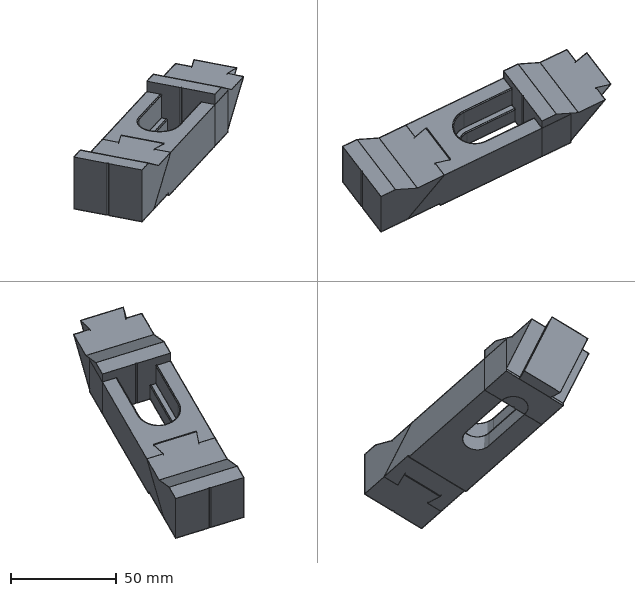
import cadquery as cq
import math


width = 35.0
ramp_angle = 45.0
ramp_run = 1 / math.tan(math.radians(ramp_angle))

jaw_height = 27.5
jaw_step = 7.0
jaw_flat_height = jaw_height - jaw_step
jaw_crest = 8.0
jaw_slope_angle = 30.0
jaw_slope_end = jaw_crest + jaw_step / math.tan(math.radians(jaw_slope_angle))
jaw_length = 35.0
groove_width = 1.0
groove_depth = 0.5

dovetail_length = 7.05
dovetail_tip_width = 22.0
dovetail_angle = 15.0
dovetail_root_width = dovetail_tip_width - 2 * dovetail_length * math.tan(math.radians(dovetail_angle))
dovetail_end_gap = 0.45

front_jaw_lift = 1.5
rear_jaw_face = 89.0

base_height = front_jaw_lift + jaw_flat_height
base_top_front = jaw_length
base_end = 105.0
foot_front = 32.5
foot_chamfer = 0.5

slot_front_center = 62.5
slot_rear_center = rear_jaw_face
slot_width = 14.0
slot_step_width = 20.0
slot_step_depth = 12.5
slot_step_z = base_height - slot_step_depth
slot_chamfer = 0.5
slot_chamfer_angle = 45.0
along_y = 90.0


def side_profile(points):
    """Extrude a (Y, Z) outline across the full width."""
    return cq.Workplane("YZ").polyline(points).close().extrude(width / 2, both=True)


def dovetail(root_y, height, end_gap=0.0):
    """Dovetail prism leaning along the ramp; root_y is the root's Y at the bottom."""
    half_root = dovetail_root_width / 2
    half_tip = dovetail_tip_width / 2
    tip_y = root_y + dovetail_length
    end_y = tip_y + end_gap

    outline = [(-half_root, root_y), (-half_tip, tip_y)]
    if end_gap > 0:
        outline += [(-half_tip, end_y), (half_tip, end_y)]
    outline += [(half_tip, tip_y), (half_root, root_y)]

    section = cq.Wire.makePolygon([cq.Vector(x, y, 0) for x, y in outline], close=True)
    lean = cq.Vector(0, height * ramp_run, height)
    return cq.Workplane(obj=cq.Solid.extrudeLinear(section, [], lean))


def make_jaw(face_y, bottom_z):
    """Sliding jaw with its clamping face at face_y and its underside at bottom_z."""
    shoulder_bottom = jaw_length - jaw_flat_height * ramp_run
    body = side_profile([
        (0, 0),
        (0, jaw_height),
        (jaw_crest, jaw_height),
        (jaw_slope_end, jaw_flat_height),
        (jaw_length, jaw_flat_height),
        (shoulder_bottom, 0),
    ])
    tongue = dovetail(shoulder_bottom, jaw_flat_height)
    groove = (
        cq.Workplane("XY")
        .polyline([(-groove_width / 2, 0), (0, groove_depth), (groove_width / 2, 0)])
        .close()
        .extrude(jaw_height)
    )
    return body.union(tongue).cut(groove).translate((0, face_y, bottom_z))


def slot_level(slot_size, bottom_z, top_z):
    """Round-ended slot with a chamfered upper rim."""
    middle = (slot_front_center + slot_rear_center) / 2
    overall = slot_rear_center - slot_front_center + slot_size
    level = (
        cq.Workplane("XY")
        .workplane(offset=bottom_z)
        .center(0, middle)
        .slot2D(overall, slot_size, along_y)
        .extrude(top_z - bottom_z)
    )
    rim = (
        cq.Workplane("XY")
        .workplane(offset=top_z)
        .center(0, middle)
        .slot2D(overall + 2 * slot_chamfer, slot_size + 2 * slot_chamfer, along_y)
        .extrude(-slot_chamfer, taper=slot_chamfer_angle)
    )
    return level.union(rim)


stepped_slot = slot_level(slot_width, 0, slot_step_z).union(
    slot_level(slot_step_width, slot_step_z, base_height)
)


def make_base():
    """Base from its front ramp back to the plane of the rear clamping face."""
    ramp_foot = base_top_front - jaw_flat_height * ramp_run
    body = side_profile([
        (base_top_front, base_height),
        (ramp_foot, front_jaw_lift),
        (foot_front, front_jaw_lift),
        (foot_front, foot_chamfer),
        (foot_front + foot_chamfer, 0),
        (rear_jaw_face, 0),
        (rear_jaw_face, base_height),
    ])
    socket = dovetail(ramp_foot, jaw_flat_height, dovetail_end_gap)
    socket = socket.translate((0, 0, front_jaw_lift))
    return body.cut(socket).cut(stepped_slot)


def make_saddle():
    """Block behind the base that carries the rear jaw and the closed end of the slot."""
    body = side_profile([
        (rear_jaw_face, 0),
        (base_end, 0),
        (base_end, base_height),
        (rear_jaw_face, base_height),
    ])
    return body.cut(stepped_slot)


base = make_base()
saddle = make_saddle()
front_jaw = make_jaw(0, front_jaw_lift)
rear_jaw = make_jaw(rear_jaw_face, 0).cut(saddle)

result = cq.Compound.makeCompound([base.val(), saddle.val(), front_jaw.val(), rear_jaw.val()])